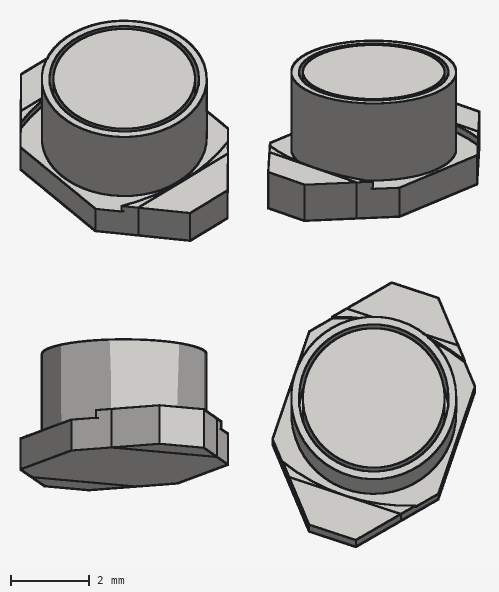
import cadquery as cq
import math

LENGTH = 6.6
WIDTH = 4.45
HEIGHT = 2.92

PLATE_HEIGHT = 0.995
RECESS_DEPTH = 0.2
SIDE_FLAT = 2.93
END_FLAT = 1.255
TERMINAL_LENGTH = 1.0
RECESS_ARC_RADIUS = 5.08

RING_DIAMETER = 4.2
RING_WALL = 0.2
RING_GAP = 0.1

SEAM_X = LENGTH / 2 - TERMINAL_LENGTH
FLOOR_Z = PLATE_HEIGHT - RECESS_DEPTH
UPPER_HEIGHT = HEIGHT - FLOOR_Z
RING_BORE = RING_DIAMETER - 2 * RING_WALL
CORE_DIAMETER = RING_BORE - 2 * RING_GAP


def octagon_plate():
    """Eight-sided footprint shared by the base and both terminals."""
    half_length = LENGTH / 2
    half_width = WIDTH / 2
    half_side = SIDE_FLAT / 2
    half_end = END_FLAT / 2
    return (
        cq.Workplane("XY")
        .moveTo(half_side, half_width)
        .lineTo(half_length, half_end)
        .lineTo(half_length, -half_end)
        .lineTo(half_side, -half_width)
        .lineTo(-half_side, -half_width)
        .lineTo(-half_length, -half_end)
        .lineTo(-half_length, half_end)
        .lineTo(-half_side, half_width)
        .close()
        .extrude(PLATE_HEIGHT)
    )


def recess_cutter():
    """Recess across the full width, its two arced ends touching the terminal seams."""
    half_width = WIDTH / 2
    arc_center_x = SEAM_X - RECESS_ARC_RADIUS
    corner_x = arc_center_x + math.sqrt(RECESS_ARC_RADIUS**2 - half_width**2)
    return (
        cq.Workplane("XY", origin=(0, 0, FLOOR_Z))
        .moveTo(-corner_x, -half_width)
        .lineTo(corner_x, -half_width)
        .threePointArc((SEAM_X, 0), (corner_x, half_width))
        .lineTo(-corner_x, half_width)
        .threePointArc((-SEAM_X, 0), (-corner_x, -half_width))
        .close()
        .extrude(RECESS_DEPTH)
    )


def make_base():
    """Middle of the plate, between the seams, with the recess in its top."""
    middle = cq.Workplane("XY").box(2 * SEAM_X, WIDTH, PLATE_HEIGHT, centered=(True, True, False))
    return octagon_plate().intersect(middle).cut(recess_cutter())


def make_terminal(side):
    """End of the plate beyond the seam; side is -1 or +1 along X."""
    end_block = (
        cq.Workplane("XY")
        .box(TERMINAL_LENGTH, WIDTH, PLATE_HEIGHT, centered=(True, True, False))
        .translate((side * (SEAM_X + TERMINAL_LENGTH / 2), 0, 0))
    )
    return octagon_plate().intersect(end_block)


def make_ring():
    """Shielding ring standing on the recess floor."""
    return (
        cq.Workplane("XY", origin=(0, 0, FLOOR_Z))
        .circle(RING_DIAMETER / 2)
        .circle(RING_BORE / 2)
        .extrude(UPPER_HEIGHT)
    )


def make_core():
    """Round core inside the ring, flush with its top."""
    return (
        cq.Workplane("XY", origin=(0, 0, FLOOR_Z))
        .circle(CORE_DIAMETER / 2)
        .extrude(UPPER_HEIGHT)
    )


base = make_base()
terminals = [make_terminal(side) for side in (-1, 1)]
ring = make_ring()
core = make_core()

result = cq.Compound.makeCompound(
    [base.solids().val(), *[terminal.solids().val() for terminal in terminals], ring.val(), core.val()]
)